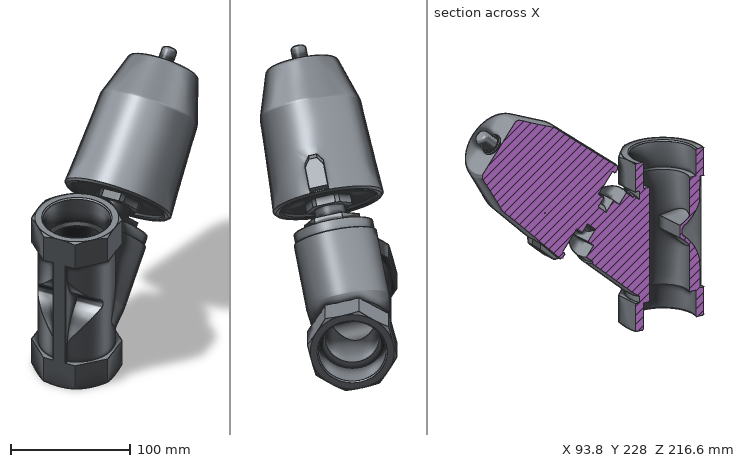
import cadquery as cq
import math


BODY_HEIGHT = 150.5
PIPE_DIAMETER = 65.2
PIPE_RADIUS = PIPE_DIAMETER / 2
BORE_DIAMETER = 45.0
SOCKET_DIAMETER = 56.5
SOCKET_DEPTH = 24.0
SOCKET_CHAMFER = 1.1

OCTAGON_FLATS = 70.2
OCTAGON_HEIGHT = 25.5
CORNER_BEVEL_ANGLE = 30.0

RIB_WIDTH = 11.9
RIB_CHAMFER = 0.5

UPPER_FLANK_CENTRE = (0.0, 113.3)
UPPER_FLANK_RADIUS = PIPE_RADIUS
LOWER_FLANK_CENTRE = (10.7, 40.8)
LOWER_FLANK_RADIUS = 42.9
WAIST_ROOT_RADIUS = 5.7
WAIST_WALL = 3.2
WAIST_RIDGE_Y = -10.3

AXIS_START_HEIGHT = 47.9
AXIS_RISE_ANGLE = 40.0

BRANCH_DIAMETER = 70.0
BRANCH_END = 75.7
BRANCH_TAPER_START = 19.8
BRANCH_TAPER_ANGLE = 6.0
BRANCH_END_FILLET = 4.5

FLANGE_DIAMETER = 67.0
FLANGE_END = 84.5
BONNET_HEX_FLATS = 41.0
BONNET_HEX_END = 92.0
SPINDLE_DIAMETER = 26.0
ACTUATOR_HEX_FLATS = 36.3
ACTUATOR_HEX_CORNER_DIAMETER = 39.7
ACTUATOR_HEX_START = 102.1

HOUSING_START = 105.8
HOUSING_DIAMETER = 94.0
RIM_CHAMFER = 1.8
SHOULDER = 188.3
SHOULDER_DIAMETER = 85.5
SHOULDER_FILLET = 5.7
HOUSING_END = 228.0
HOUSING_END_DIAMETER = 60.2
HOUSING_END_FILLET = 4.5
RECESS_DIAMETER = 81.6
RECESS_DEPTH = 3.5
RECESS_CHAMFER = 1.1

COLLAR_DIAMETER = 18.2
COLLAR_HEIGHT = 1.8
COLLAR_CHAMFER = 1.0
COLLAR_BORE_DIAMETER = 14.1
PIN_DIAMETER = 12.8
PIN_END = 244.0
PIN_TIP_DIAMETER = 6.4

PORT_START = 111.0
PORT_END = 136.0
PORT_WIDTH = 16.0
PORT_FACE_OFFSET = 49.0
PORT_DEPTH = 8.0
PORT_LOWER_SLOPE = 2.7
PORT_CORNER_CHAMFER = 4.5


def cylinder(diameter, start, end):
    return cq.Workplane("XY").workplane(offset=start).circle(diameter / 2).extrude(end - start)


def revolved(profile):
    """Turn a closed (radius, height) profile about Z."""
    return cq.Workplane("XZ").polyline(profile).close().revolve(360, (0, 0), (0, 1))


def hexagon(flats, start, end):
    """Hexagonal prism with corners on +X and -X."""
    corner_diameter = flats / math.cos(math.radians(30))
    return cq.Workplane("XY").workplane(offset=start).polygon(6, corner_diameter).extrude(end - start)


def octagon_end():
    """Octagonal prism standing on Z = 0, with the corners of its lower face bevelled."""
    corner_radius = OCTAGON_FLATS / 2 / math.cos(math.radians(22.5))
    prism = (
        cq.Workplane("XY")
        .polygon(8, 2 * corner_radius)
        .extrude(OCTAGON_HEIGHT)
        .rotate((0, 0, 0), (0, 0, 1), 22.5)
    )
    face_radius = OCTAGON_FLATS / 2
    rise = (corner_radius - face_radius) * math.tan(math.radians(CORNER_BEVEL_ANGLE))
    bevel = revolved([
        (0, 0),
        (face_radius, 0),
        (corner_radius, rise),
        (corner_radius, OCTAGON_HEIGHT),
        (0, OCTAGON_HEIGHT),
    ])
    return prism.intersect(bevel)


def flip_to_top(shape):
    """Mirror a shape about the mid height of the body."""
    return shape.mirror("XY", (0, 0, BODY_HEIGHT / 2))


def point_towards(start, end, distance):
    """Point at the given distance from start, on the line to end."""
    ratio = distance / math.dist(start, end)
    return (start[0] + (end[0] - start[0]) * ratio, start[1] + (end[1] - start[1]) * ratio)


def waist_cutter():
    """Slot along X between the two flanks, with a root circle tangent to both."""
    flank_distance = math.dist(UPPER_FLANK_CENTRE, LOWER_FLANK_CENTRE)
    upper_reach = UPPER_FLANK_RADIUS + WAIST_ROOT_RADIUS
    lower_reach = LOWER_FLANK_RADIUS + WAIST_ROOT_RADIUS
    along = (lower_reach**2 + flank_distance**2 - upper_reach**2) / (2 * flank_distance)
    across = math.sqrt(lower_reach**2 - along**2)
    foot_y, foot_z = point_towards(LOWER_FLANK_CENTRE, UPPER_FLANK_CENTRE, along)
    root_y = foot_y - across * (UPPER_FLANK_CENTRE[1] - LOWER_FLANK_CENTRE[1]) / flank_distance
    root_z = foot_z + across * (UPPER_FLANK_CENTRE[0] - LOWER_FLANK_CENTRE[0]) / flank_distance
    root = (root_y, root_z)

    upper_tangent = point_towards(UPPER_FLANK_CENTRE, root, UPPER_FLANK_RADIUS)
    lower_tangent = point_towards(LOWER_FLANK_CENTRE, root, LOWER_FLANK_RADIUS)
    upper_start = (UPPER_FLANK_CENTRE[0] - UPPER_FLANK_RADIUS, UPPER_FLANK_CENTRE[1])
    lower_end = (LOWER_FLANK_CENTRE[0] - LOWER_FLANK_RADIUS, LOWER_FLANK_CENTRE[1])

    def flank_middle(centre, radius, first, last):
        chord_middle = ((first[0] + last[0]) / 2, (first[1] + last[1]) / 2)
        return point_towards(centre, chord_middle, radius)

    return (
        cq.Workplane("YZ")
        .moveTo(*upper_start)
        .threePointArc(flank_middle(UPPER_FLANK_CENTRE, UPPER_FLANK_RADIUS, upper_start, upper_tangent),
                       upper_tangent)
        .threePointArc((root_y + WAIST_ROOT_RADIUS, root_z), lower_tangent)
        .threePointArc(flank_middle(LOWER_FLANK_CENTRE, LOWER_FLANK_RADIUS, lower_tangent, lower_end),
                       lower_end)
        .lineTo(-OCTAGON_FLATS, lower_end[1])
        .lineTo(-OCTAGON_FLATS, upper_start[1])
        .close()
        .extrude(PIPE_DIAMETER, both=True)
    )


def waist_ridge():
    """Wall that carries the waist into the bore: a flat ridge between two round flanks."""
    lower_z = LOWER_FLANK_CENTRE[1]
    height = UPPER_FLANK_CENTRE[1] - lower_z
    ridge = (
        cq.Workplane("XY")
        .box(PIPE_DIAMETER, PIPE_RADIUS, height, centered=(True, False, False))
        .translate((0, WAIST_RIDGE_Y - PIPE_RADIUS, lower_z))
    )
    flanks = ((UPPER_FLANK_CENTRE, UPPER_FLANK_RADIUS), (LOWER_FLANK_CENTRE, LOWER_FLANK_RADIUS))
    for centre, radius in flanks:
        flank_section = cq.Workplane("YZ").center(*centre).circle(radius - WAIST_WALL)
        flank = flank_section.extrude(PIPE_RADIUS, both=True)
        ridge = ridge.cut(flank)
    return ridge


def rib():
    depth = OCTAGON_FLATS / 2
    bar = (
        cq.Workplane("XY")
        .box(RIB_WIDTH, depth, BODY_HEIGHT - 2 * OCTAGON_HEIGHT, centered=(True, False, False))
        .translate((0, -depth, OCTAGON_HEIGHT))
    )
    return bar.faces("<Y").edges("|Z").chamfer(RIB_CHAMFER)


def socket():
    """Threaded socket at the lower end, with a chamfered mouth."""
    mouth_radius = SOCKET_DIAMETER / 2 + SOCKET_CHAMFER
    return revolved([
        (0, 0),
        (mouth_radius, 0),
        (SOCKET_DIAMETER / 2, SOCKET_CHAMFER),
        (SOCKET_DIAMETER / 2, SOCKET_DEPTH),
        (0, SOCKET_DEPTH),
    ])


def branch():
    taper_radius = BRANCH_DIAMETER / 2 - BRANCH_TAPER_START * math.tan(math.radians(BRANCH_TAPER_ANGLE))
    tapered_end = revolved([
        (0, 0),
        (taper_radius, 0),
        (BRANCH_DIAMETER / 2, BRANCH_TAPER_START),
        (BRANCH_DIAMETER / 2, BRANCH_END),
        (0, BRANCH_END),
    ])
    return tapered_end.faces("<Z").edges().fillet(BRANCH_END_FILLET)


def bonnet():
    flange = cylinder(FLANGE_DIAMETER, BRANCH_END, FLANGE_END)
    bonnet_hex = hexagon(BONNET_HEX_FLATS, FLANGE_END, BONNET_HEX_END)
    spindle = cylinder(SPINDLE_DIAMETER, BONNET_HEX_END, ACTUATOR_HEX_START)
    recess_floor = HOUSING_START + RECESS_DEPTH
    actuator_hex = hexagon(ACTUATOR_HEX_FLATS, ACTUATOR_HEX_START, recess_floor)
    corner_limit = cylinder(ACTUATOR_HEX_CORNER_DIAMETER, ACTUATOR_HEX_START, recess_floor)
    actuator_hex = actuator_hex.intersect(corner_limit)
    return flange.union(bonnet_hex).union(spindle).union(actuator_hex)


def housing():
    shell = revolved([
        (0, HOUSING_START),
        (HOUSING_DIAMETER / 2, HOUSING_START),
        (SHOULDER_DIAMETER / 2, SHOULDER),
        (HOUSING_END_DIAMETER / 2, HOUSING_END),
        (0, HOUSING_END),
    ])
    shell = shell.edges("%CIRCLE").edges(cq.selectors.RadiusNthSelector(1)).fillet(SHOULDER_FILLET)
    shell = shell.faces("<Z").edges().chamfer(RIM_CHAMFER)
    shell = shell.faces(">Z").edges().fillet(HOUSING_END_FILLET)
    shell = shell.cut(cylinder(RECESS_DIAMETER, HOUSING_START, HOUSING_START + RECESS_DEPTH))
    return shell.faces("<Z").edges(cq.selectors.RadiusNthSelector(0)).chamfer(RECESS_CHAMFER)


def indicator():
    collar = cylinder(COLLAR_DIAMETER, HOUSING_END, HOUSING_END + COLLAR_HEIGHT)
    collar = collar.faces(">Z").edges().chamfer(COLLAR_CHAMFER)
    collar = collar.cut(cylinder(COLLAR_BORE_DIAMETER, HOUSING_END, HOUSING_END + COLLAR_HEIGHT))
    pin = cylinder(PIN_DIAMETER, HOUSING_END, PIN_END)
    pin = pin.faces(">Z").edges().fillet((PIN_DIAMETER - PIN_TIP_DIAMETER) / 2)
    return collar.union(pin)


def port():
    """Boss with 45 degree sloping ends and two cut corners at its upper end."""
    base_offset = PORT_FACE_OFFSET - PORT_DEPTH
    boss = (
        cq.Workplane("YZ")
        .polyline([(PORT_FACE_OFFSET, PORT_START), (PORT_FACE_OFFSET, PORT_END),
                   (base_offset, PORT_END + PORT_DEPTH), (base_offset, PORT_START - PORT_LOWER_SLOPE),
                   (PORT_FACE_OFFSET - PORT_LOWER_SLOPE, PORT_START - PORT_LOWER_SLOPE)])
        .close()
        .extrude(PORT_WIDTH / 2, both=True)
    )
    return boss.faces(">Z").edges("not |X").chamfer(PORT_CORNER_CHAMFER)


tilted_parts = branch().union(bonnet()).union(housing()).union(indicator()).union(port())
tilted_parts = tilted_parts.rotate((0, 0, 0), (1, 0, 0), AXIS_RISE_ANGLE - 90)
tilted_parts = tilted_parts.translate((0, 0, AXIS_START_HEIGHT))

pipe = cylinder(PIPE_DIAMETER, 0, BODY_HEIGHT)
passage = cylinder(BORE_DIAMETER, 0, BODY_HEIGHT).cut(waist_ridge())

result = pipe.union(tilted_parts).cut(waist_cutter()).union(rib())
result = result.union(octagon_end()).union(flip_to_top(octagon_end()))
result = result.cut(passage).cut(socket()).cut(flip_to_top(socket()))